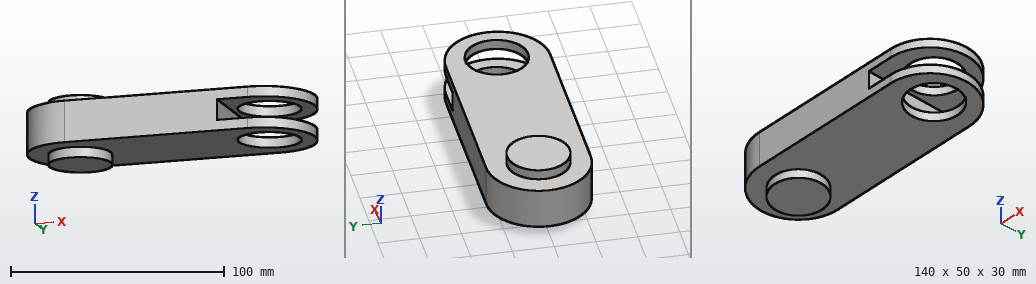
import cadquery as cq

length = 140.0
width = 50.0
thickness = 20.0

pin_diameter = 30.0
pin_length = 30.0
pin_x = -(length - width) / 2

hole_diameter = pin_diameter
pin_to_hole = 92.8
hole_x = pin_x + pin_to_hole
slot_depth = 40.0
slot_height = 10.0


def make_body():
    """Flat bar with fully rounded ends."""
    return cq.Workplane("XY").slot2D(length, width).extrude(thickness / 2, both=True)


def make_cylinder(x, diameter, height):
    """Vertical cylinder centred on the mid-plane."""
    return cq.Workplane("XY").center(x, 0).circle(diameter / 2).extrude(height / 2, both=True)


def make_fork_slot():
    """Slot across the full width, open at the +X end."""
    slot_x = length / 2 - slot_depth / 2
    return cq.Workplane("XY").box(slot_depth, width, slot_height).translate((slot_x, 0, 0))


pin = make_cylinder(pin_x, pin_diameter, pin_length)
hole = make_cylinder(hole_x, hole_diameter, thickness)

result = make_body().union(pin).cut(make_fork_slot()).cut(hole)